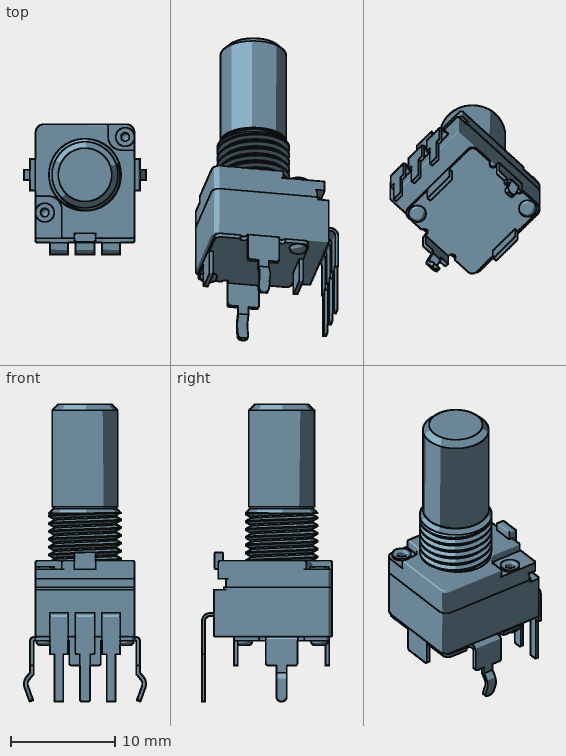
import cadquery as cq
import math


housing_width = 9.5
half_width = housing_width / 2
back_y = 4.85
back_corner_radius = 0.8
front_corner_radius = 0.2
edge_radius = 0.2

cover_front_y = -6.08
lip_height = 1.75
neck_front_y = -5.35
cover_height = 2.53
cover_bottom_z = -cover_height

rim_front_y = -5.55
rim_height = 0.25
body_front_y = -6.5
body_bottom_z = -7.3
body_top_z = cover_bottom_z - rim_height

rivet_upper_head_diameter = 1.8
rivet_lower_head_diameter = 1.65
rivet_x = half_width - rivet_upper_head_diameter / 2
rivet_y = 3.62
rivet_diameter = 1.2
rivet_upper_head_height = 0.2
rivet_lower_head_height = 0.42
rivet_lower_head_round = 0.4
rivet_hole_diameter = 0.8
rivet_hole_mouth_radius = 0.2
rivet_hole_straight_depth = 0.4
pocket_depth = 0.8
pocket_mouth_radius = 0.2
pocket_inner_x = 2.22
front_pocket_inner_y = 2.06
back_pocket_inner_y = 2.37
pocket_corner_radius = 1.25

lug_width = 2.05
lug_back_y = -5.6
lug_front_y = -6.43
lug_rise = 0.8
lug_edge_radius = 0.12

thread_diameter = 6.91
thread_core_diameter = 6.05
thread_pitch = 0.75
thread_crest_flat = thread_pitch / 8
thread_flank_angle = 30
thread_crest_z_at_x = 0.18
bushing_chamfer = (thread_diameter - thread_core_diameter) / 2
bushing_top_z = 5.0
collar_bottom_z = bushing_top_z - bushing_chamfer
neck_top_z = 5.15

shaft_diameter = 6.32
shaft_top_z = 15.0
shaft_chamfer = 0.6

terminal_pitch = 2.5
terminal_thickness = 0.31
terminal_front_y = back_y - 12.5
terminal_top_z = -5.0
terminal_bend_radius = 0.8
terminal_shoulder_z = -8.97
terminal_bottom_z = shaft_top_z - 28.5
outer_terminal = {"width": 1.75, "pin_width": 0.88, "corner": 0.08}
middle_terminal = {"width": 1.85, "pin_width": 0.97, "corner": 0.2}

sheet = 0.38
plate_half_length = 4.57
plate_corner_radius = 0.6
plate_bottom_z = body_bottom_z - sheet
tab_width = 3.05
tab_bottom_z = -10.05
tab_corner = 0.25
relief_radius = 0.33

snap_span = 11.72
leg_outer_x = 5.28
leg_inner_x = leg_outer_x - sheet
leg_bend_z = -10.73
leg_width = 1.0
snap_radius = 1.05
snap_upper_angle = 40
snap_lower_angle = 20
leg_tip_radius = leg_width / 2


def housing_prism(front_y, top_z, bottom_z):
    """Upright block with large back corner rounds and small front ones."""
    depth = back_y - front_y
    block = (
        cq.Workplane("XY", origin=(0, (back_y + front_y) / 2, bottom_z))
        .rect(housing_width, depth)
        .extrude(top_z - bottom_z)
    )
    block = block.edges("|Z and >Y").fillet(back_corner_radius)
    return block.edges("|Z and <Y").fillet(front_corner_radius)


def disc(diameter, bottom_z, top_z, x=0, y=0):
    return cq.Workplane("XY", origin=(x, y, bottom_z)).circle(diameter / 2).extrude(top_z - bottom_z)


def at_rivets(make):
    """Two copies of a feature, one on each rivet axis."""
    return make(rivet_x, rivet_y).add(make(-rivet_x, -rivet_y))


def corner_pocket(side, inner_y, outer_y):
    """Pocket cutter for the back right corner of the cover, or the front left one for a negative side."""
    width = half_width + 1 - pocket_inner_x
    length = outer_y - inner_y
    pocket = (
        cq.Workplane("XY", origin=(pocket_inner_x + width / 2, inner_y + length / 2, -pocket_depth))
        .rect(width, length)
        .extrude(pocket_depth + 1)
        .edges("|Z and <X and <Y")
        .fillet(pocket_corner_radius)
    )
    return pocket if side > 0 else pocket.rotate((0, 0, 0), (0, 0, 1), 180)


def make_thread():
    """Helical ridge, cut off level at the cover and at the collar."""
    core_radius = thread_core_diameter / 2
    root_radius = core_radius - 0.05
    half_crest = thread_crest_flat / 2
    half_root = half_crest + (thread_diameter / 2 - root_radius) * math.tan(math.radians(thread_flank_angle))
    start_z = thread_crest_z_at_x - 2 * thread_pitch
    helix = cq.Wire.makeHelix(thread_pitch, 9 * thread_pitch, core_radius, center=cq.Vector(0, 0, start_z))
    ridge = (
        cq.Workplane("XZ", origin=(0, 0, start_z))
        .moveTo(root_radius, -half_root)
        .lineTo(thread_diameter / 2, -half_crest)
        .lineTo(thread_diameter / 2, half_crest)
        .lineTo(root_radius, half_root)
        .close()
        .sweep(cq.Workplane(helix), isFrenet=True)
    )
    return ridge.intersect(disc(thread_diameter + 1, 0, collar_bottom_z + 0.01))


def make_bushing():
    core = disc(thread_core_diameter, 0, neck_top_z)
    collar = disc(thread_diameter, collar_bottom_z, bushing_top_z).faces(">Z").chamfer(bushing_chamfer - 0.001)
    return core.union(make_thread()).union(collar)


def make_lug():
    lug = (
        cq.Workplane("XY", origin=(0, (lug_back_y + lug_front_y) / 2, -pocket_depth))
        .rect(lug_width, lug_back_y - lug_front_y)
        .extrude(pocket_depth + lug_rise)
    )
    return lug.edges(">Z or (<Z and <Y)").fillet(lug_edge_radius)


def make_cover():
    deck = housing_prism(cover_front_y, 0, -pocket_depth)
    deck = deck.cut(corner_pocket(1, back_pocket_inner_y, back_y + 1))
    deck = deck.cut(corner_pocket(-1, front_pocket_inner_y, -cover_front_y + 1))
    pocket_mouths = [
        (pocket_inner_x, back_y),
        (half_width, back_pocket_inner_y),
        (-half_width, -front_pocket_inner_y),
        (-pocket_inner_x, cover_front_y),
    ]
    for x, y in pocket_mouths:
        corner = cq.selectors.NearestToPointSelector((x, y, -pocket_depth / 2))
        deck = deck.edges(corner).fillet(pocket_mouth_radius)
    deck = deck.faces(">Z").edges().fillet(edge_radius)
    cover = deck.union(housing_prism(cover_front_y, -pocket_depth, -lip_height))
    cover = cover.union(housing_prism(neck_front_y, -lip_height, cover_bottom_z))
    cover = cover.union(make_lug()).union(make_bushing())
    return cover.cut(at_rivets(lambda x, y: disc(rivet_diameter, cover_bottom_z, 0, x, y)))


def make_body():
    body = housing_prism(body_front_y, body_top_z, body_bottom_z).faces("<Z").edges().fillet(edge_radius)
    body = body.union(housing_prism(rim_front_y, cover_bottom_z, body_top_z))
    return body.cut(at_rivets(lambda x, y: disc(rivet_diameter, body_bottom_z, cover_bottom_z, x, y)))


def make_shaft():
    return disc(shaft_diameter, neck_top_z, shaft_top_z).faces(">Z").chamfer(shaft_chamfer)


def make_rivet(x, y):
    """Shank with a rounded head under the bracket and a hollow head on the pocket floor."""
    top_z = rivet_upper_head_height - pocket_depth
    rivet = disc(rivet_lower_head_diameter, plate_bottom_z - rivet_lower_head_height, plate_bottom_z)
    rivet = rivet.faces("<Z").edges().fillet(rivet_lower_head_round)
    rivet = rivet.union(disc(rivet_diameter, plate_bottom_z, top_z))
    rivet = rivet.union(disc(rivet_upper_head_diameter, -pocket_depth, top_z))
    hole_radius = rivet_hole_diameter / 2
    mouth_z = top_z - rivet_hole_mouth_radius
    hole = (
        cq.Workplane("XZ")
        .moveTo(0, top_z)
        .lineTo(hole_radius + rivet_hole_mouth_radius, top_z)
        .radiusArc((hole_radius, mouth_z), -rivet_hole_mouth_radius)
        .lineTo(hole_radius, mouth_z - rivet_hole_straight_depth)
        .radiusArc((0, mouth_z - rivet_hole_straight_depth - hole_radius), hole_radius)
        .close()
        .revolve()
    )
    return rivet.cut(hole).translate((x, y, 0))


def stepped_outline(plane, width, pin_width, top_z, shoulder_z, bottom_z):
    """Wide strip narrowing to a centred pin, symmetric about the plane's vertical axis."""
    return (
        cq.Workplane(plane)
        .moveTo(-width / 2, top_z)
        .lineTo(-width / 2, shoulder_z)
        .lineTo(-pin_width / 2, shoulder_z)
        .lineTo(-pin_width / 2, bottom_z)
        .lineTo(pin_width / 2, bottom_z)
        .lineTo(pin_width / 2, shoulder_z)
        .lineTo(width / 2, shoulder_z)
        .lineTo(width / 2, top_z)
        .close()
    )


def make_terminal(x, width, pin_width, corner):
    """Strip that leaves the body face, bends down and narrows to a solder pin."""
    inner_y = terminal_front_y + terminal_thickness
    bend_y = terminal_front_y + terminal_bend_radius
    bend_z = terminal_top_z - terminal_bend_radius
    inner_radius = terminal_bend_radius - terminal_thickness
    diagonal = math.sqrt(0.5)
    profile = (
        cq.Workplane("YZ", origin=(-width / 2, 0, 0))
        .moveTo(body_front_y, terminal_top_z)
        .lineTo(bend_y, terminal_top_z)
        .threePointArc(
            (bend_y - terminal_bend_radius * diagonal, bend_z + terminal_bend_radius * diagonal),
            (terminal_front_y, bend_z),
        )
        .lineTo(terminal_front_y, terminal_bottom_z)
        .lineTo(inner_y, terminal_bottom_z)
        .lineTo(inner_y, bend_z)
        .threePointArc(
            (bend_y - inner_radius * diagonal, bend_z + inner_radius * diagonal),
            (bend_y, terminal_top_z - terminal_thickness),
        )
        .lineTo(body_front_y, terminal_top_z - terminal_thickness)
        .close()
        .extrude(width)
    )
    outline = stepped_outline("XZ", width, pin_width, terminal_top_z, terminal_shoulder_z, terminal_bottom_z)
    blank = outline.extrude(-2 * terminal_front_y, both=True)
    blank = blank.edges("|Y and <Z").fillet(corner)
    blank = blank.edges("|Y and (<X or >X)").edges("<Z").fillet(corner)
    return profile.intersect(blank).translate((x, 0, 0))


def make_end_tab():
    """Plain tab bent down from the front edge of the plate."""
    tab = (
        cq.Workplane("XY", origin=(0, -plate_half_length + sheet / 2, tab_bottom_z))
        .rect(tab_width, sheet)
        .extrude(body_bottom_z - tab_bottom_z)
    )
    tab = tab.edges("|Y and <Z").fillet(tab_corner)
    return tab.edges("|X and <Y and >Z").fillet(sheet - 0.01)


def make_snap_leg():
    """Springy leg on the -X side: bent down, bowed outwards and rounded at the tip."""
    upper = math.radians(snap_upper_angle)
    lower = math.radians(snap_lower_angle)
    bow_x = -snap_span / 2 + snap_radius
    upper_x = bow_x - snap_radius * math.cos(upper)
    upper_z = leg_bend_z - (-leg_outer_x - upper_x) / math.tan(upper)
    bow_z = upper_z - snap_radius * math.sin(upper)
    inner_radius = snap_radius - sheet
    inner_bend_z = leg_bend_z - sheet * math.tan(upper / 2)
    tail = (bow_z - snap_radius * math.sin(lower) - terminal_bottom_z) / math.cos(lower)

    def on_bow(radius, angle):
        return bow_x - radius * math.cos(angle), bow_z + radius * math.sin(angle)

    def tail_end(radius):
        x, z = on_bow(radius, -lower)
        return x + tail * math.sin(lower), z - tail * math.cos(lower)

    profile = (
        cq.Workplane("XZ")
        .moveTo(-half_width, body_bottom_z)
        .lineTo(-leg_inner_x, body_bottom_z)
        .radiusArc((-leg_outer_x, plate_bottom_z), -sheet)
        .lineTo(-leg_outer_x, leg_bend_z)
        .lineTo(*on_bow(snap_radius, upper))
        .threePointArc(on_bow(snap_radius, 0), on_bow(snap_radius, -lower))
        .lineTo(*tail_end(snap_radius))
        .lineTo(*tail_end(inner_radius))
        .lineTo(*on_bow(inner_radius, -lower))
        .threePointArc(on_bow(inner_radius, 0), on_bow(inner_radius, upper))
        .lineTo(-leg_inner_x, inner_bend_z)
        .lineTo(-leg_inner_x, plate_bottom_z)
        .lineTo(-half_width, plate_bottom_z)
        .close()
        .extrude(tab_width / 2, both=True)
    )
    outline = stepped_outline("YZ", tab_width, leg_width, body_bottom_z, tab_bottom_z, terminal_bottom_z)
    blank = outline.extrude(-snap_span)
    blank = blank.edges("|X and <Z").fillet(leg_tip_radius - 0.01)
    blank = blank.edges("|X and (<Y or >Y)").edges("<Z").fillet(tab_corner)
    return profile.intersect(blank)


def make_bracket():
    plate = (
        cq.Workplane("XY", origin=(0, 0, plate_bottom_z))
        .rect(housing_width, 2 * plate_half_length)
        .extrude(sheet)
        .edges("|Z")
        .fillet(plate_corner_radius)
    )
    relief_offset = tab_width / 2 + relief_radius
    reliefs = [(x, y) for x in (-half_width, half_width) for y in (-relief_offset, relief_offset)]
    plate = plate.cut(
        cq.Workplane("XY", origin=(0, 0, plate_bottom_z)).pushPoints(reliefs).circle(relief_radius).extrude(sheet)
    )
    for angle in (0, 180):
        plate = plate.union(make_end_tab().rotate((0, 0, 0), (0, 0, 1), angle))
        plate = plate.union(make_snap_leg().rotate((0, 0, 0), (0, 0, 1), angle))
    return plate.cut(at_rivets(lambda x, y: disc(rivet_diameter, plate_bottom_z, body_bottom_z, x, y)))


cover = make_cover()
body = make_body()
shaft = make_shaft()
bracket = make_bracket()
rivets = at_rivets(make_rivet)
terminals = make_terminal(0, **middle_terminal)
for terminal_x in (-terminal_pitch, terminal_pitch):
    terminals = terminals.add(make_terminal(terminal_x, **outer_terminal))

result = cq.Compound.makeCompound(
    [cover.val(), body.val(), shaft.val(), bracket.val(), *rivets.vals(), *terminals.vals()]
)